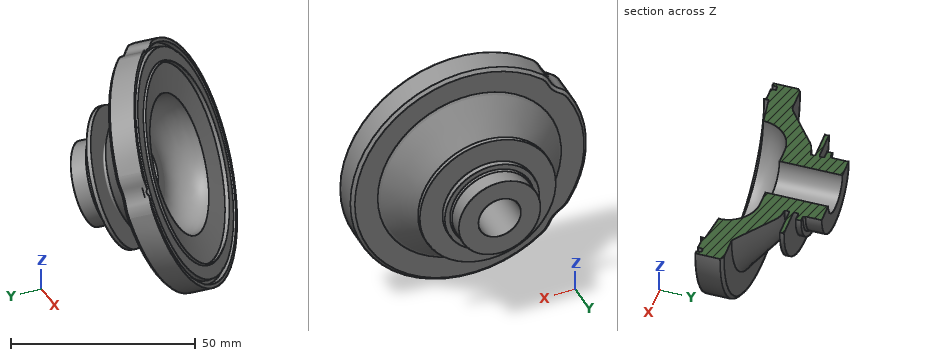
import cadquery as cq
import math

rim_radius = 34.75
total_height = 29.3

lip_height = 0.55
lip_base_radius = 28.5
lip_tip_radius = 28.1
rim_back = 8.5
rim_chamfer_width = 0.8
rim_chamfer_height = 1.0

groove_outer_radius = 33.7
groove_inner_radius = 32.25
groove_depth = 1.4
groove_wall_taper = 0.2

cone_foot_radius = 26.8
flare_radius = 27.05
flare_height = 0.4
cone_angle = math.radians(38)
shoulder_height = 18.55
shoulder_round = 6.95

neck_radius = 11.5
neck_round = 0.3
thin_flange_radius = 20.0
thin_flange_bottom = 19.9
thin_flange_top = 21.1
thick_flange_radius = 13.9
thick_flange_bottom = 22.45
thick_flange_top = 24.05
hub_radius = 12.0
hub_foot_width = 0.35
hub_foot_height = 0.6

bore_radius = 6.25
floor_radius = 10.85
bowl_round = 9.0
bowl_edge_height = 2.4
recess_wall_height = 1.25

notch_angle = 41.3
notch_radius = 7.65
notch_depth = 1.1
notch_edge_round = 7.65


def make_turned_body():
    diagonal = math.sqrt(0.5)
    floor_height = bowl_edge_height + bowl_round
    bowl_mid = (floor_radius + bowl_round * diagonal, bowl_edge_height + bowl_round * diagonal)

    arc_end_height = shoulder_height - shoulder_round * (1 - math.cos(cone_angle))
    arc_start_radius = cone_foot_radius - (arc_end_height - rim_back) / math.tan(cone_angle)
    flare_end_radius = cone_foot_radius - flare_height / math.tan(cone_angle)
    arc_centre_radius = arc_start_radius - shoulder_round * math.sin(cone_angle)
    arc_centre_height = shoulder_height - shoulder_round
    shoulder_mid = (
        arc_centre_radius + shoulder_round * math.sin(cone_angle / 2),
        arc_centre_height + shoulder_round * math.cos(cone_angle / 2),
    )

    profile = (
        cq.Workplane("XY")
        .moveTo(bore_radius, floor_height)
        .lineTo(floor_radius, floor_height)
        .threePointArc(bowl_mid, (floor_radius + bowl_round, bowl_edge_height))
        .lineTo(lip_tip_radius, recess_wall_height)
        .lineTo(lip_tip_radius, 0)
        .lineTo(lip_base_radius, lip_height)
        .lineTo(lip_base_radius, rim_back)
        .lineTo(flare_radius, rim_back)
        .lineTo(flare_end_radius, rim_back + flare_height)
        .lineTo(arc_start_radius, arc_end_height)
        .threePointArc(shoulder_mid, (arc_centre_radius, shoulder_height))
        .lineTo(neck_radius, shoulder_height)
        .lineTo(neck_radius, total_height)
        .lineTo(bore_radius, total_height)
        .close()
    )
    return profile.revolve(360, (0, 0, 0), (0, 1, 0))


def make_ring(outer_radius, inner_radius, bottom, top):
    return (
        cq.Workplane("XZ", origin=(0, bottom, 0))
        .circle(outer_radius)
        .circle(inner_radius)
        .extrude(bottom - top)
    )


def make_neck_fillet(corner_height, direction):
    """Ring filling the corner between the neck and a flange face."""
    arc_offset = neck_round * (1 - math.sqrt(0.5))
    return (
        cq.Workplane("XY")
        .moveTo(bore_radius, corner_height)
        .lineTo(neck_radius + neck_round, corner_height)
        .threePointArc(
            (neck_radius + arc_offset, corner_height + direction * arc_offset),
            (neck_radius, corner_height + direction * neck_round),
        )
        .lineTo(bore_radius, corner_height + direction * neck_round)
        .close()
        .revolve(360, (0, 0, 0), (0, 1, 0))
    )


def make_hub_foot():
    return (
        cq.Workplane("XY")
        .moveTo(bore_radius, thick_flange_top)
        .lineTo(hub_radius + hub_foot_width, thick_flange_top)
        .lineTo(hub_radius, thick_flange_top + hub_foot_height)
        .lineTo(bore_radius, thick_flange_top + hub_foot_height)
        .close()
        .revolve(360, (0, 0, 0), (0, 1, 0))
    )


def make_rim():
    """Rim ring with the rounded notches and a chamfer along its back edge."""
    thickness = rim_back - lip_height
    front_plane = cq.Workplane("XZ", origin=(0, lip_height, 0))
    rim = front_plane.circle(rim_radius).extrude(-thickness)
    centre_distance = rim_radius - notch_depth + notch_radius
    angle = math.radians(notch_angle)
    for side in (1, -1):
        x = -centre_distance * math.cos(angle)
        z = side * centre_distance * math.sin(angle)
        rim = rim.cut(front_plane.center(x, z).circle(notch_radius).extrude(-thickness))
    notch_zone = cq.selectors.BoxSelector(
        (-rim_radius, 0, -rim_radius), (-rim_radius / 2, rim_back, rim_radius)
    )
    rim = rim.edges("|Y").edges(notch_zone).fillet(notch_edge_round)
    rim = rim.faces(">Y").chamfer(rim_chamfer_height, rim_chamfer_width)
    core = front_plane.circle(lip_base_radius).extrude(-thickness)
    return rim.cut(core)


def make_seal_groove():
    groove_floor = lip_height + groove_depth
    return (
        cq.Workplane("XY")
        .moveTo(groove_inner_radius, lip_height)
        .lineTo(groove_outer_radius, lip_height)
        .lineTo(groove_outer_radius - groove_wall_taper, groove_floor)
        .lineTo(groove_inner_radius + groove_wall_taper, groove_floor)
        .close()
        .revolve(360, (0, 0, 0), (0, 1, 0))
    )


body = make_turned_body().union(make_rim())
body = body.union(make_ring(thin_flange_radius, bore_radius, thin_flange_bottom, thin_flange_top))
body = body.union(make_ring(thick_flange_radius, bore_radius, thick_flange_bottom, thick_flange_top))
body = body.union(make_ring(hub_radius, bore_radius, thick_flange_top, total_height))
body = body.union(make_hub_foot())
for corner_height, direction in (
    (shoulder_height, 1),
    (thin_flange_bottom, -1),
    (thin_flange_top, 1),
    (thick_flange_bottom, -1),
):
    body = body.union(make_neck_fillet(corner_height, direction))

result = body.cut(make_seal_groove())